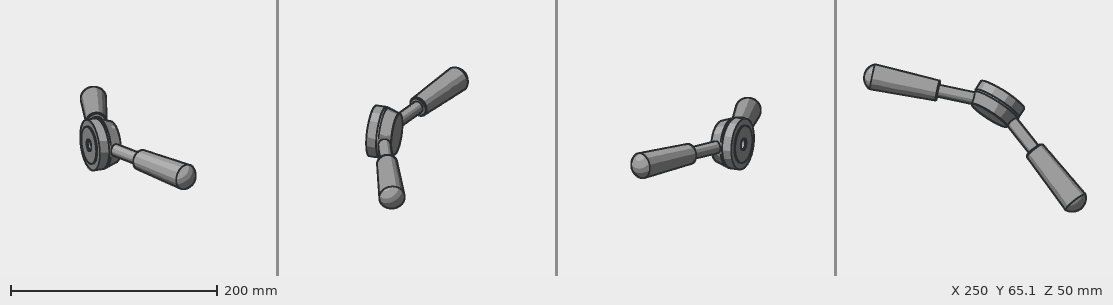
import cadquery as cq
import math

disc_diameter = 50.0
boss_diameter = 36.7
boss_height = 1.2
disc_top = 11.2
collar_radius = 24.2
collar_top = 13.5
hub_top_radius = 20.5
hub_height = 25.5
hub_edge_chamfer = 0.5

hole_diameter = 9.7
hole_mouth_diameter = 12.0
hole_depth = 15.0
drill_point_angle = 118.0

arm_angle = 20.0
arm_origin_y = 11.0
rod_diameter = 12.0

grip_start = 58.5
overall_span = 250.0
grip_small_radius = 10.0
grip_large_radius = 12.5
grip_chamfer = 1.0
dome_height = 8.2


def revolve_about_y(profile):
    """Turn a closed half profile, drawn in XY, about the Y axis."""
    return profile.close().revolve(360, (0, 0, 0), (0, 1, 0))


def make_hub():
    disc_radius = disc_diameter / 2
    boss_radius = boss_diameter / 2
    return revolve_about_y(
        cq.Workplane("XY")
        .moveTo(0, 0)
        .lineTo(boss_radius, 0)
        .lineTo(boss_radius, boss_height)
        .lineTo(disc_radius, boss_height)
        .lineTo(disc_radius, disc_top)
        .lineTo(collar_radius, disc_top)
        .lineTo(collar_radius, collar_top)
        .lineTo(hub_top_radius, hub_height - hub_edge_chamfer)
        .lineTo(hub_top_radius - hub_edge_chamfer, hub_height)
        .lineTo(0, hub_height)
    )


def make_hole():
    hole_radius = hole_diameter / 2
    mouth_radius = hole_mouth_diameter / 2
    mouth_depth = mouth_radius - hole_radius
    point_depth = hole_radius / math.tan(math.radians(drill_point_angle / 2))
    return revolve_about_y(
        cq.Workplane("XY")
        .moveTo(0, 0)
        .lineTo(mouth_radius, 0)
        .lineTo(hole_radius, mouth_depth)
        .lineTo(hole_radius, hole_depth)
        .lineTo(0, hole_depth + point_depth)
    )


def make_arm():
    """Rod and grip as one turned body, tilted onto the +X side of the hub."""
    rod_radius = rod_diameter / 2
    dome_radius = (grip_large_radius**2 + dome_height**2) / (2 * dome_height)
    dome_center = (overall_span / 2 - dome_radius) / math.cos(math.radians(arm_angle))
    grip_end = dome_center + dome_radius - dome_height
    mid_dome_angle = math.asin(grip_large_radius / dome_radius) / 2
    mid_dome_point = (
        dome_radius * math.sin(mid_dome_angle),
        dome_center + dome_radius * math.cos(mid_dome_angle),
    )
    arm = revolve_about_y(
        cq.Workplane("XY")
        .moveTo(0, 0)
        .lineTo(rod_radius, 0)
        .lineTo(rod_radius, grip_start)
        .lineTo(grip_small_radius - grip_chamfer, grip_start)
        .lineTo(grip_small_radius, grip_start + grip_chamfer)
        .lineTo(grip_large_radius, grip_end)
        .threePointArc(mid_dome_point, (0, grip_end + dome_height))
    )
    tilt_from_y = arm_angle - 90
    return arm.rotate((0, 0, 0), (0, 0, 1), tilt_from_y).translate((0, arm_origin_y, 0))


right_arm = make_arm()
left_arm = right_arm.mirror("YZ")
result = make_hub().union(right_arm).union(left_arm).cut(make_hole())